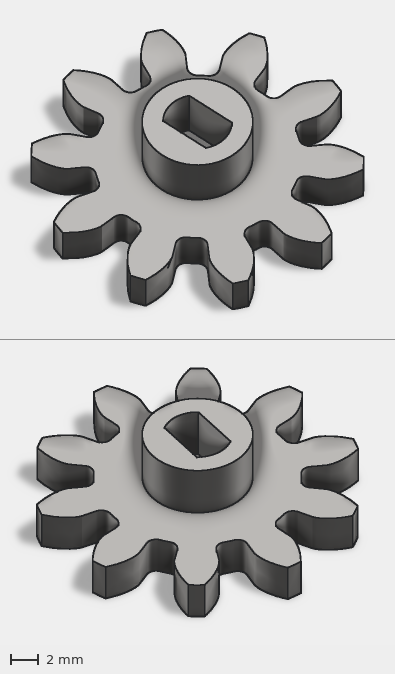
import cadquery as cq
import math

tip_diameter = 24.0
tooth_count = 10
pressure_angle = math.radians(20)
dedendum_factor = 1.25
root_fillet = 0.75
gear_thickness = 3.0

module = tip_diameter / (tooth_count + 2)
tip_radius = tip_diameter / 2
pitch_radius = module * tooth_count / 2
root_radius = pitch_radius - dedendum_factor * module
base_radius = pitch_radius * math.cos(pressure_angle)

hub_diameter = 8.0
hub_height = 4.0
bore_diameter = 5.0
bore_across_flats = 3.0
bore_depth = hub_height

flank_points = 7


def polar(radius, angle):
    return (radius * math.cos(angle), radius * math.sin(angle))


def involute(angle):
    return math.tan(angle) - angle


def half_tooth_angle(radius):
    """Half of the angle that a tooth spans at a radius on its involute flank."""
    pitch_half_angle = math.pi / (2 * tooth_count)
    return pitch_half_angle + involute(pressure_angle) - involute(math.acos(base_radius / radius))


def upper_flank():
    """Involute points from the base circle to the tip of a tooth centred on +X."""
    tip_roll = math.sqrt((tip_radius / base_radius) ** 2 - 1)
    points = []
    for i in range(flank_points):
        roll = tip_roll * i / (flank_points - 1)
        radius = base_radius * math.sqrt(1 + roll**2)
        points.append(polar(radius, half_tooth_angle(radius)))
    return points


def make_tooth():
    """One tooth with involute flanks that run radially inward below the base circle."""
    upper = upper_flank()
    lower = [(x, -y) for x, y in upper]
    return (
        cq.Workplane("XY")
        .lineTo(*lower[0])
        .spline(lower[1:], includeCurrent=True)
        .threePointArc((tip_radius, 0), upper[-1])
        .spline(upper[-2::-1], includeCurrent=True)
        .close()
        .extrude(gear_thickness)
    )


def make_gear():
    gear = cq.Workplane("XY").circle(root_radius).extrude(gear_thickness)
    tooth = make_tooth()
    for i in range(tooth_count):
        gear = gear.union(tooth.rotate((0, 0, 0), (0, 0, 1), i * 360 / tooth_count))

    upright_edges = gear.edges("|Z")
    corners = []
    for i in range(tooth_count):
        for side in (-1, 1):
            angle = i * 2 * math.pi / tooth_count + side * half_tooth_angle(base_radius)
            middle = (*polar(root_radius, angle), gear_thickness / 2)
            corners.append(upright_edges.edges(cq.selectors.NearestToPointSelector(middle)).val())
    return cq.Workplane(gear.val().fillet(root_fillet, corners))


def make_hub():
    return cq.Workplane("XY").workplane(offset=gear_thickness).circle(hub_diameter / 2).extrude(hub_height)


def make_bore():
    floor = cq.Workplane("XY").workplane(offset=gear_thickness + hub_height - bore_depth)
    round_bore = floor.circle(bore_diameter / 2).extrude(bore_depth)
    flats = floor.rect(bore_diameter, bore_across_flats).extrude(bore_depth)
    return round_bore.intersect(flats)


result = make_gear().union(make_hub()).cut(make_bore())